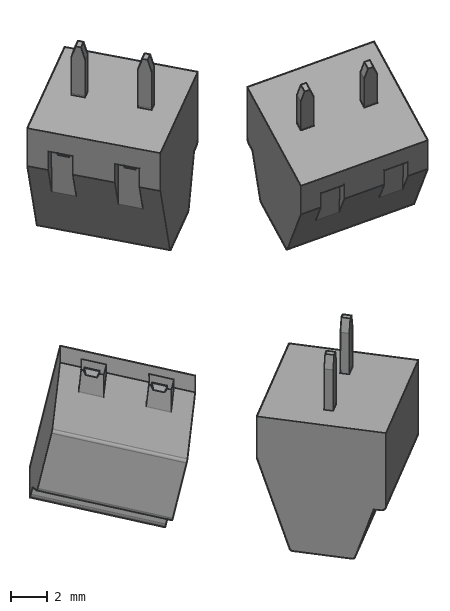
import cadquery as cq
import math

width = 7.62
depth = 7.3
total_height = 12.0
pin_height = 3.5
housing_top = total_height - pin_height
front_y = -depth / 2
back_y = depth / 2

front_kink_z = housing_top - 2.7
front_slope_run = 1.9
step_z = housing_top - 5.09
step_depth = 0.7
back_slope_run = 1.09
step_radius = 0.3
bottom_radius = 0.2

pitch = width / 2
pole_positions = (-pitch / 2, pitch / 2)

pin_width = 0.79
pin_thickness = 0.5
pin_y = 0.05
pin_tip_width = 0.32
pin_tip_height = 0.82
bend_radius = 0.25
bend_height = 0.11

pocket_width = 1.4
pocket_top = housing_top - 1.38
pocket_bottom = housing_top - 4.76
front_slope = front_slope_run / front_kink_z
pocket_bottom_y = front_y + (front_kink_z - pocket_bottom) * front_slope
pocket_top_y = pocket_bottom_y - 0.06

contact_width = 0.86
contact_tip_width = 0.62
contact_straight = 0.12
contact_drop = 0.66
contact_reach = 0.18


def extrude_along_x(outline, length, center_x):
    """Extrude a closed YZ outline, centred on the given X position."""
    return outline.extrude(length / 2, both=True).translate((center_x, 0, 0))


def make_housing():
    outline = (
        cq.Workplane("YZ")
        .moveTo(front_y, housing_top)
        .lineTo(front_y, front_kink_z)
        .lineTo(front_y + front_slope_run, 0)
        .lineTo(back_y - step_depth - back_slope_run, 0)
        .lineTo(back_y - step_depth, step_z)
        .lineTo(back_y, step_z)
        .lineTo(back_y, housing_top)
        .close()
    )
    housing = extrude_along_x(outline, width, 0)
    housing = housing.edges("|X and <Z").fillet(bottom_radius)
    step_corner = cq.selectors.NearestToPointSelector((0, back_y, step_z))
    return housing.edges(step_corner).fillet(step_radius)


def make_pin(center_x):
    blade = (
        cq.Workplane("XZ", origin=(center_x, pin_y + pin_thickness / 2, 0))
        .moveTo(-pin_width / 2, housing_top)
        .lineTo(-pin_width / 2, total_height - pin_tip_height)
        .lineTo(-pin_tip_width / 2, total_height)
        .lineTo(pin_tip_width / 2, total_height)
        .lineTo(pin_width / 2, total_height - pin_tip_height)
        .lineTo(pin_width / 2, housing_top)
        .close()
        .extrude(pin_thickness)
    )
    pin_front_y = pin_y - pin_thickness / 2
    end_angle = math.asin(bend_height / bend_radius)

    def bend_point(angle):
        flare = bend_radius * (1 - math.cos(angle))
        drop = bend_radius * math.sin(angle)
        return pin_front_y - flare, housing_top + bend_height - drop

    bend_outline = (
        cq.Workplane("YZ")
        .moveTo(*bend_point(0))
        .threePointArc(bend_point(end_angle / 2), bend_point(end_angle))
        .lineTo(pin_front_y, housing_top)
        .close()
    )
    return blade.union(extrude_along_x(bend_outline, pin_width, center_x))


def make_pocket(center_x):
    outline = (
        cq.Workplane("YZ")
        .moveTo(front_y, pocket_top)
        .lineTo(pocket_top_y, pocket_top)
        .lineTo(pocket_bottom_y, pocket_bottom)
        .lineTo(front_y, pocket_bottom)
        .close()
    )
    return extrude_along_x(outline, pocket_width, center_x)


def make_contact(center_x):
    straight_z = pocket_top - contact_straight
    tip_z = pocket_top - contact_drop
    contact_front_y = pocket_top_y - contact_reach
    side_outline = (
        cq.Workplane("YZ")
        .moveTo(contact_front_y, pocket_top)
        .lineTo(contact_front_y, straight_z)
        .lineTo(pocket_top_y, tip_z)
        .lineTo(pocket_bottom_y, tip_z)
        .lineTo(pocket_bottom_y, pocket_top)
        .close()
    )
    front_outline = (
        cq.Workplane("XZ", origin=(center_x, pocket_bottom_y, 0))
        .moveTo(-contact_width / 2, pocket_top)
        .lineTo(-contact_width / 2, straight_z)
        .lineTo(-contact_tip_width / 2, tip_z)
        .lineTo(contact_tip_width / 2, tip_z)
        .lineTo(contact_width / 2, straight_z)
        .lineTo(contact_width / 2, pocket_top)
        .close()
        .extrude(pocket_bottom_y - front_y)
    )
    return extrude_along_x(side_outline, contact_width, center_x).intersect(front_outline)


result = make_housing()
for pole_x in pole_positions:
    result = result.cut(make_pocket(pole_x))
    result = result.union(make_contact(pole_x))
    result = result.union(make_pin(pole_x))